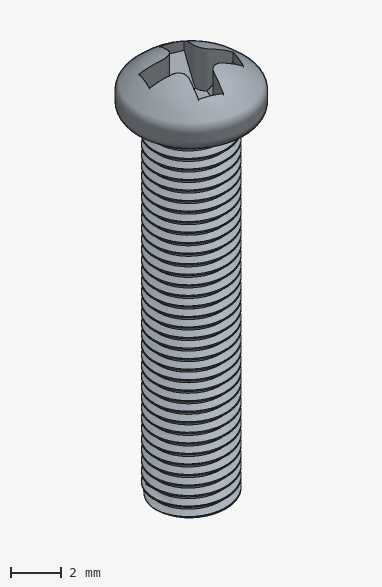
import cadquery as cq
import math

head_diameter = 6.0
head_height = 2.5
dome_radius = 4.0
rim_fillet = 0.5

shank_length = 18.0
major_diameter = 3.92
root_diameter = 3.36
pitch = 0.5
crest_width = pitch / 8
flank_half_angle = 30.0
first_crest_height = 0.07
core_overlap = 0.1
head_overlap = 0.2

arm_width = 1.06
arm_reach_top = 2.0
arm_reach_floor = 0.89
recess_floor = 0.36
inner_corner_fillet = arm_width / 2
arm_end_slope = 45.0
recess_clearance = 0.5

head_radius = head_diameter / 2
major_radius = major_diameter / 2
root_radius = root_diameter / 2
fillet_center_radius = head_radius - rim_fillet
dome_center = head_height - dome_radius
upper_fillet_center = dome_center + math.sqrt((dome_radius - rim_fillet) ** 2 - fillet_center_radius**2)


def make_head():
    """Revolve the head profile: flat underside, rounded rim and tangent dome."""
    rim_angle = math.asin(fillet_center_radius / (dome_radius - rim_fillet))
    half_rim_angle = rim_angle / 2
    upper_mid_angle = (rim_angle + math.pi / 2) / 2
    lower_mid_angle = math.pi / 4

    def dome_point(angle):
        return (dome_radius * math.sin(angle), dome_center + dome_radius * math.cos(angle))

    upper_mid = (
        fillet_center_radius + rim_fillet * math.sin(upper_mid_angle),
        upper_fillet_center + rim_fillet * math.cos(upper_mid_angle),
    )
    lower_mid = (
        fillet_center_radius + rim_fillet * math.sin(lower_mid_angle),
        rim_fillet - rim_fillet * math.cos(lower_mid_angle),
    )
    return (
        cq.Workplane("XZ")
        .lineTo(fillet_center_radius, 0)
        .threePointArc(lower_mid, (head_radius, rim_fillet))
        .lineTo(head_radius, upper_fillet_center)
        .threePointArc(upper_mid, dome_point(rim_angle))
        .threePointArc(dome_point(half_rim_angle), (0, head_height))
        .close()
        .revolve(360, (0, 0), (0, 1))
    )


def make_shank():
    """Core cylinder with a right-hand helical ridge, trimmed flat at the tip."""
    tip = cq.Workplane("XY").workplane(offset=-shank_length)
    core = tip.circle(root_radius).extrude(shank_length + head_overlap)

    helix_start = first_crest_height - shank_length - pitch
    helix_height = head_overlap - helix_start
    base_radius = root_radius - core_overlap
    half_crest = crest_width / 2
    half_base = half_crest + (major_radius - base_radius) * math.tan(math.radians(flank_half_angle))
    helix = cq.Wire.makeHelix(pitch, helix_height, root_radius, center=cq.Vector(0, 0, helix_start))
    ridge = (
        cq.Workplane("XZ")
        .polyline(
            [
                (base_radius, helix_start - half_base),
                (major_radius, helix_start - half_crest),
                (major_radius, helix_start + half_crest),
                (base_radius, helix_start + half_base),
            ]
        )
        .close()
        .sweep(cq.Workplane(helix), isFrenet=True)
    )
    below_tip = tip.circle(head_radius).extrude(-2 * pitch)
    return core.union(ridge.cut(below_tip))


def make_recess_cutter():
    """Upright cross with rounded inner corners, whose arm ends slope in towards the floor."""
    cutter_height = head_height + recess_clearance - recess_floor
    base = cq.Workplane("XY").workplane(offset=recess_floor)
    bar_x = base.rect(2 * arm_reach_top, arm_width).extrude(cutter_height)
    bar_y = base.rect(arm_width, 2 * arm_reach_top).extrude(cutter_height)
    inner_corners = cq.selectors.BoxSelector(
        (-arm_width, -arm_width, recess_floor),
        (arm_width, arm_width, recess_floor + cutter_height),
    )
    cross = bar_x.union(bar_y).edges("|Z").edges(inner_corners).fillet(inner_corner_fillet)
    widening_block = base.rect(2 * arm_reach_floor, 2 * arm_reach_floor).extrude(
        cutter_height, taper=-arm_end_slope
    )
    return cross.intersect(widening_block)


result = make_head().union(make_shank()).cut(make_recess_cutter())